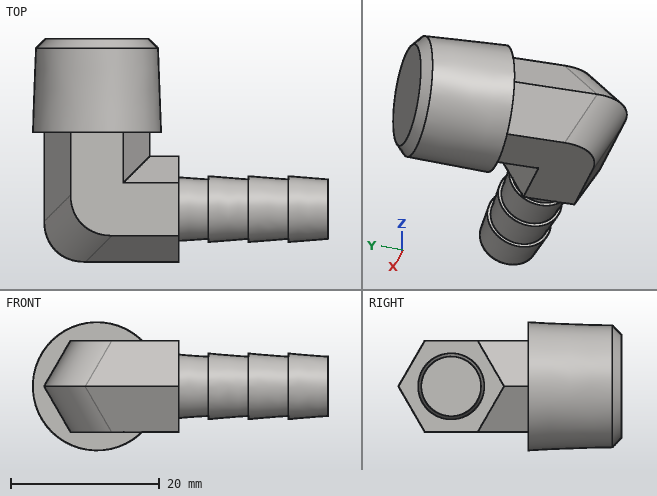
import cadquery as cq
import math

overall_length = 39.7
hex_flats = 12.3
hex_corners = hex_flats / math.cos(math.radians(30))
thread_leg = 10.32
barb_leg = 11.0
corner_fillet = 6.35

thread_base_radius = 8.635
thread_end_radius = 8.2
thread_length = 12.6
chamfer_length = 1.27
chamfer_depth = 1.3

barb_count = 3
barb_large_radius = 4.45
barb_small_radius = 4.0
neck_length = 3.97
neck_root_radius = 4.3
tail_end = overall_length - thread_base_radius
barbs_start = barb_leg + neck_length
barb_pitch = (tail_end - barbs_start) / barb_count


def make_body():
    path = cq.Workplane("XY").polyline([(0, thread_leg), (0, 0), (barb_leg, 0)])
    body = (
        cq.Workplane("XZ", origin=(0, thread_leg, 0))
        .polygon(6, hex_corners)
        .sweep(path, transition="right")
    )
    reach = hex_corners
    outside_corner = cq.selectors.BoxSelector((-reach, -reach, -reach), (0, 0, reach))
    return body.edges(outside_corner).fillet(corner_fillet)


def make_thread():
    end = thread_leg + thread_length
    profile = [
        (0, thread_leg),
        (thread_base_radius, thread_leg),
        (thread_end_radius, end - chamfer_length),
        (thread_end_radius - chamfer_depth, end),
        (0, end),
    ]
    return cq.Workplane("XY").polyline(profile).close().revolve(360, (0, 0), (0, 1))


def make_hose_tail():
    profile = [
        (barb_leg, 0),
        (barb_leg, neck_root_radius),
        (barbs_start, barb_small_radius),
    ]
    for index in range(barb_count):
        start = barbs_start + index * barb_pitch
        profile.append((start, barb_large_radius))
        profile.append((start + barb_pitch, barb_small_radius))
    profile.append((tail_end, 0))
    return cq.Workplane("XY").polyline(profile).close().revolve(360, (0, 0), (1, 0))


result = make_body().union(make_thread()).union(make_hose_tail())